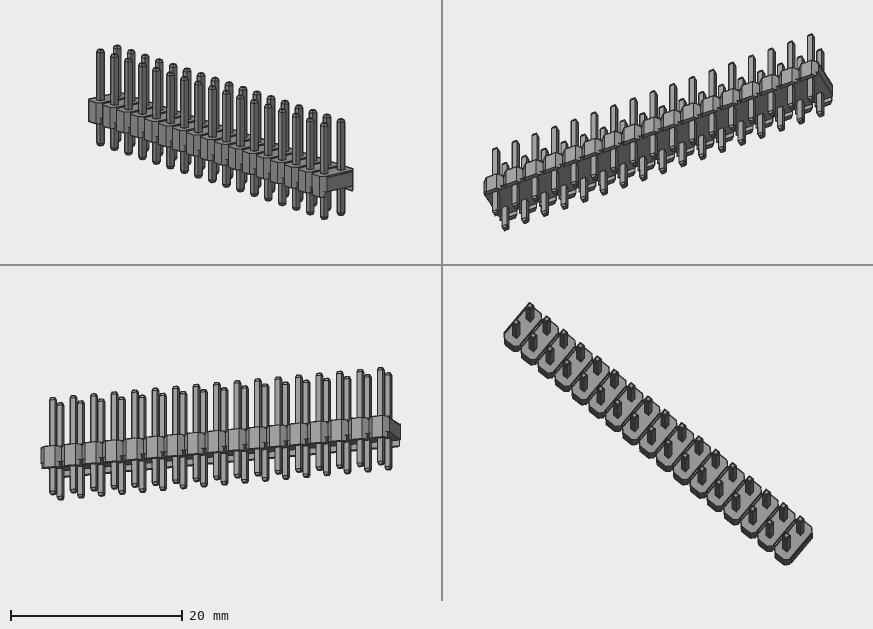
import cadquery as cq

length = 43.2
columns = 17
rows = 2
pitch = length / columns

housing_width = rows * pitch
housing_height = 2.55
corner_cut = 0.6
flank_width = housing_width - 2 * corner_cut

skirt_thickness = 0.45
channel_depth = 0.7

groove_width = 0.35
groove_depth = 0.15
groove_wall_angle = 30.0

pin_side = 0.65
pin_above = 6.1
pin_below = 3.0
pin_length = pin_above + housing_height + pin_below
tip_length = 0.3
tip_inset = 0.11


def along(count):
    """Centre positions of `count` items one pitch apart, balanced about zero."""
    return [(i - (count - 1) / 2) * pitch for i in range(count)]


def make_cell():
    """One housing cell: a rectangular block with its four upright corners cut off."""
    half_x = pitch / 2
    half_y = housing_width / 2
    inner_x = half_x - corner_cut
    inner_y = half_y - corner_cut
    outline = [
        (-inner_x, -half_y),
        (inner_x, -half_y),
        (half_x, -inner_y),
        (half_x, inner_y),
        (inner_x, half_y),
        (-inner_x, half_y),
        (-half_x, inner_y),
        (-half_x, -inner_y),
    ]
    return cq.Workplane("XY").polyline(outline).close().extrude(-housing_height)


def make_housing():
    """Row of joined cells with the underside channel and the top grooves removed."""
    cell = make_cell()
    housing = cq.Workplane("XY")
    for x in along(columns):
        housing = housing.add(cell.translate((x, 0, 0)))
    housing = housing.combine()

    channel_width = housing_width - 2 * skirt_thickness
    channel = (
        cq.Workplane("XY")
        .workplane(offset=-housing_height)
        .rect(length, channel_width)
        .extrude(channel_depth)
    )
    grooves = (
        cq.Workplane("XY")
        .pushPoints([(x, 0) for x in along(columns + 1)])
        .rect(groove_width, flank_width)
        .extrude(-groove_depth, taper=groove_wall_angle)
    )
    return housing.cut(channel).cut(grooves)


def make_pin():
    """Square pin with both ends tapered on all four sides."""
    return (
        cq.Workplane("XY")
        .workplane(offset=-housing_height - pin_below)
        .rect(pin_side, pin_side)
        .extrude(pin_length)
        .faces("<Z or >Z")
        .chamfer(tip_length, tip_inset)
    )


def make_pins():
    """All pins, one per row in every cell."""
    pin = make_pin()
    pins = cq.Workplane("XY")
    for x in along(columns):
        for y in along(rows):
            pins = pins.add(pin.translate((x, y, 0)))
    return pins.combine()


result = make_housing().union(make_pins())